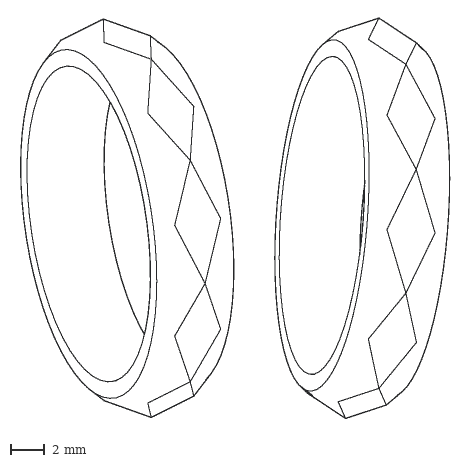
import cadquery as cq
import math

FACETS = 10
TIP_RADIUS = 12.0
RING_WIDTH = 5.0
DIAMOND_WIDTH = 2.98
RIM_RADIUS = 10.5
BORE_RADIUS = 9.5
RIDGE_STEPS = 4

FACET_ANGLE = 2 * math.pi / FACETS
FLAT_RADIUS = TIP_RADIUS * math.cos(FACET_ANGLE / 2)


def ring_point(radius, angle, y):
    return cq.Vector(radius * math.cos(angle), y, radius * math.sin(angle))


def tip(position):
    """Point where two diamonds meet; position counts facets around the ring."""
    return ring_point(TIP_RADIUS, position * FACET_ANGLE, 0)


def side_corner(position, side):
    """Corner of a diamond on the given side (+1 or -1 along Y)."""
    return ring_point(FLAT_RADIUS, position * FACET_ANGLE, side * DIAMOND_WIDTH / 2)


def rim(position, side):
    return ring_point(RIM_RADIUS, position * FACET_ANGLE, side * RING_WIDTH / 2)


def rim_arc(position, side):
    """Arc of the rim spanning one facet, centred on the given position."""
    return cq.Edge.makeThreePointArc(
        rim(position - 0.5, side), rim(position, side), rim(position + 0.5, side)
    )


def diamond(position):
    middle = position + 0.5
    corners = [tip(position), side_corner(middle, 1), tip(position + 1), side_corner(middle, -1)]
    return cq.Face.makeFromWires(cq.Wire.makePolygon(corners, close=True))


def flank(position, side):
    """Smooth five-sided patch from a tip down to the rim, straight along its middle."""
    corners = [
        rim(position - 0.5, side),
        side_corner(position - 0.5, side),
        tip(position),
        side_corner(position + 0.5, side),
        rim(position + 0.5, side),
    ]
    edges = [cq.Edge.makeLine(start, end) for start, end in zip(corners, corners[1:])]
    edges.append(rim_arc(position, side))
    ridge = rim(position, side) - tip(position)
    ridge_points = [tip(position) + ridge * (step / RIDGE_STEPS) for step in range(1, RIDGE_STEPS)]
    return cq.Face.makeNSidedSurface(edges, ridge_points)


def end_face(side):
    arcs = [rim_arc(position, side) for position in range(FACETS)]
    return cq.Face.makeFromWires(cq.Wire.assembleEdges(arcs))


faces = [diamond(position) for position in range(FACETS)]
for side in (-1, 1):
    faces += [flank(position, side) for position in range(FACETS)]
    faces.append(end_face(side))
body = cq.Solid.makeSolid(cq.Shell.makeShell(faces)).fix()

bore = cq.Solid.makeCylinder(
    BORE_RADIUS, RING_WIDTH, cq.Vector(0, -RING_WIDTH / 2, 0), cq.Vector(0, 1, 0)
)
result = cq.Workplane(body.cut(bore)).solids()